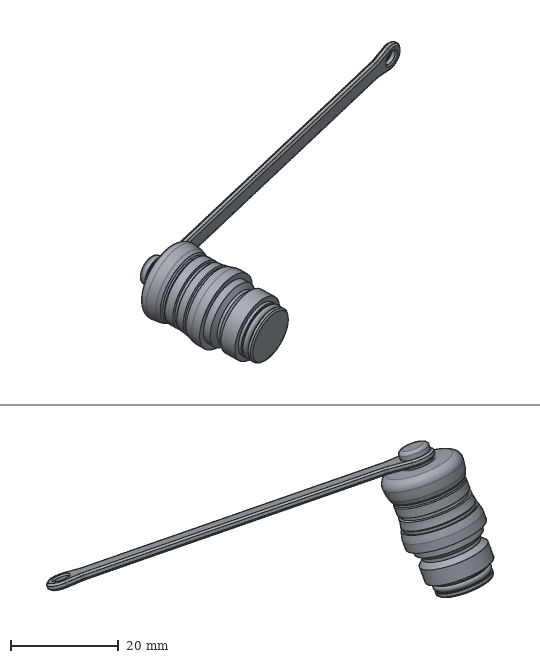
import cadquery as cq
import math

cap_radius = 8.0
length = 28.6
cap_face_x = 3.4
cap_face_inner_radius = 3.4
cap_face_rim = (3.65, 6.6)
cap_rim_arc_middle = (4.3, 7.6)
cap_crown_x = 5.6
cap_back_arc_middle = (6.65, 7.9)
cap_back_arc_end = (7.6, 7.7)
cap_back_end = (8.4, 7.4)
cap_groove_start_x = 8.75
cap_groove_end_x = 9.15
cap_groove_radius = 7.05
waist_radius = 7.2
first_land_start_x = 9.4
first_land_end_x = 11.25
groove_wall_run = 0.2
waist_groove_radius = 6.8
second_land_start_x = 12.15
second_land_arc_middle = (13.1, 7.3)
second_land_end = (13.85, 7.45)
skirt_groove_start_x = 14.1
skirt_start = (14.65, 7.6)
skirt_arc_middle = (15.5, 7.85)
skirt_crown_x = 16.3
skirt_end_x = 18.15
shoulder_radius = 6.8
shoulder_end_x = 19.7
seal_groove_radius = 5.75
seal_groove_start_x = 20.5
seal_groove_end_x = 21.1
collar_start_x = 22.2
collar_end_x = 25.4
nose_radius = 11.4 / 2
nose_groove_radius = 10.8 / 2
nose_groove_start_x = 26.1
nose_groove_end_x = 27.7
nose_edge_chamfer = 0.3
ring_section_radius = 0.65
ring_stand_out = 0.1

button_radius = 3.0
button_face_radius = 2.1
button_round_length = 0.65

strap_x = 1.5
strap_thickness = 1.45
strap_width = 4.1
strap_edge_chamfer = 0.4
plug_eye_radius = 3.5
plug_eye_taper_length = 6.0
tip_eye_radius = 3.0
tip_eye_taper_length = 4.05
overall_width = 81
tip_eye_y = overall_width - cap_radius - tip_eye_radius
tip_hole_diameter = 3.0
tip_hole_chamfer = 0.3
strap_bend_radius = 2.4


def revolve_about_x(profile):
    return profile.close().revolve(360, (0, 0, 0), (1, 0, 0))


def make_plug():
    """Domed cap, grooved waist, flared skirt, seal groove, collar and nose."""
    profile = (
        cq.Workplane("XY")
        .moveTo(cap_face_x, 0)
        .lineTo(cap_face_x, cap_face_inner_radius)
        .lineTo(*cap_face_rim)
        .threePointArc(cap_rim_arc_middle, (cap_crown_x, cap_radius))
        .threePointArc(cap_back_arc_middle, cap_back_arc_end)
        .lineTo(*cap_back_end)
        .lineTo(cap_groove_start_x, cap_groove_radius)
        .lineTo(cap_groove_end_x, cap_groove_radius)
        .lineTo(first_land_start_x, waist_radius)
        .lineTo(first_land_end_x, waist_radius)
        .lineTo(first_land_end_x + groove_wall_run, waist_groove_radius)
        .lineTo(second_land_start_x - groove_wall_run, waist_groove_radius)
        .lineTo(second_land_start_x, waist_radius)
        .threePointArc(second_land_arc_middle, second_land_end)
        .lineTo(skirt_groove_start_x, waist_radius)
        .lineTo(skirt_start[0], waist_radius)
        .lineTo(*skirt_start)
        .threePointArc(skirt_arc_middle, (skirt_crown_x, cap_radius))
        .lineTo(skirt_end_x, cap_radius)
        .lineTo(skirt_end_x, shoulder_radius)
        .lineTo(shoulder_end_x, shoulder_radius)
        .lineTo(seal_groove_start_x, seal_groove_radius)
        .lineTo(seal_groove_end_x, seal_groove_radius)
        .lineTo(collar_start_x, shoulder_radius)
        .lineTo(collar_end_x, shoulder_radius)
        .lineTo(collar_end_x, nose_radius)
        .lineTo(nose_groove_start_x, nose_radius)
        .lineTo(nose_groove_start_x, nose_groove_radius)
        .lineTo(nose_groove_end_x, nose_groove_radius)
        .lineTo(nose_groove_end_x, nose_radius)
        .lineTo(length - nose_edge_chamfer, nose_radius)
        .lineTo(length, nose_radius - nose_edge_chamfer)
        .lineTo(length, 0)
    )
    return revolve_about_x(profile)


def make_nose_ring():
    """Round-section ring seated in the nose groove."""
    ring_x = (nose_groove_start_x + nose_groove_end_x) / 2
    ring_center_radius = nose_radius + ring_stand_out - ring_section_radius
    return (
        cq.Workplane("XY")
        .center(ring_x, ring_center_radius)
        .circle(ring_section_radius)
        .revolve(360, (0, -ring_center_radius, 0), (1, -ring_center_radius, 0))
    )


def make_button():
    """Button with a rounded outer rim and a stem through to the cap."""
    diagonal = math.sqrt(0.5)
    arc_middle = (
        button_round_length * (1 - diagonal),
        button_face_radius + (button_radius - button_face_radius) * diagonal,
    )
    profile = (
        cq.Workplane("XY")
        .lineTo(0, button_face_radius)
        .threePointArc(arc_middle, (button_round_length, button_radius))
        .lineTo(cap_face_x, button_radius)
        .lineTo(cap_face_x, 0)
    )
    return revolve_about_x(profile)


def eye_blank(center_y, radius, taper_length, direction):
    """Round eye with flanks tangent to it that narrow to the strap width."""
    half_width = strap_width / 2
    distance = math.hypot(taper_length, half_width)
    angle = math.atan2(half_width, taper_length) + math.acos(radius / distance)
    tangent_y = center_y + direction * radius * math.cos(angle)
    tangent_z = radius * math.sin(angle)
    neck_y = center_y + direction * taper_length
    return (
        cq.Workplane("YZ", origin=(strap_x, 0, 0))
        .moveTo(neck_y, half_width)
        .lineTo(tangent_y, tangent_z)
        .threePointArc((center_y - direction * radius, 0), (tangent_y, -tangent_z))
        .lineTo(neck_y, -half_width)
        .close()
        .extrude(strap_thickness)
    )


def make_strap():
    """Chamfered strap with an eye at each end and a countersunk tip hole."""
    bar_start = plug_eye_taper_length
    bar_end = tip_eye_y - tip_eye_taper_length
    bar = cq.Workplane("XY").box(
        strap_thickness, bar_end - bar_start, strap_width, centered=(False, False, True)
    ).translate((strap_x, bar_start, 0))
    strap = (
        bar
        .union(eye_blank(0, plug_eye_radius, plug_eye_taper_length, 1))
        .union(eye_blank(tip_eye_y, tip_eye_radius, tip_eye_taper_length, -1))
        .clean()
    )
    necks = cq.selectors.BoxSelector(
        (0, plug_eye_radius, -strap_width), (length, tip_eye_y - tip_eye_radius, strap_width)
    )
    strap = strap.edges("|X").edges(necks).fillet(strap_bend_radius)
    strap = strap.faces("<X or >X").chamfer(strap_edge_chamfer)
    hole = (
        cq.Workplane("YZ", origin=(strap_x, tip_eye_y, 0))
        .circle(tip_hole_diameter / 2)
        .extrude(strap_thickness)
    )
    return strap.cut(hole).edges(
        cq.selectors.RadiusNthSelector(0)
    ).chamfer(tip_hole_chamfer)


result = make_plug().union(make_nose_ring()).union(make_button()).union(make_strap())